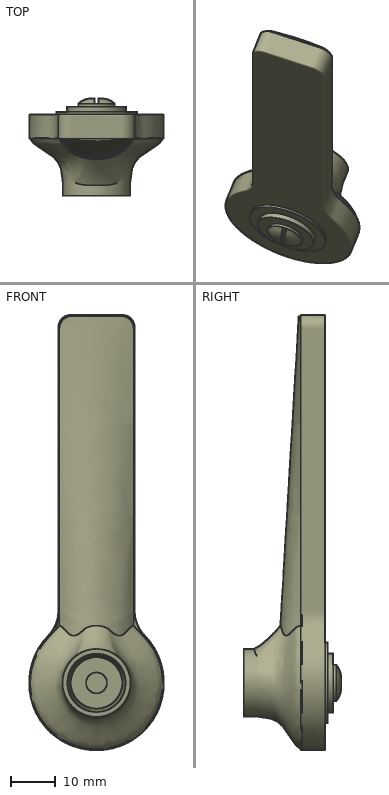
import cadquery as cq
import math

total_length = 96.9
hub_radius = 15.0
arm_half_width = 8.5
arm_top = total_length - hub_radius
arm_corner_radius = 2.9
blend_radius = 7.8
plate_thickness = 5.4
edge_round = 0.3

arch_rise_at_hub = 5.3
arch_rise_at_top = 0.5
arch_half_width = arm_half_width - edge_round

neck_radius = 7.6
neck_front = 18.1
bore_rim_radius = 6.5
bore_floor_radius = 5.7
bore_floor = plate_thickness

flare_sections = [
    (plate_thickness, hub_radius - edge_round, 6.8, 18.4),
    (8.1, 11.4, 4.4, 15.2),
    (11.0, 8.4, 3.9, 11.6),
    (14.8, neck_radius, 6.3, 8.1),
    (16.5, 7.3, 7.2, 7.4),
]

seat_radius = 9.0
seat_height = 0.6
washer_radius = 6.6
washer_thickness = 1.2
head_radius = 4.1
head_edge_height = 0.7
head_height = 1.8
head_crown_radius = 1.2
dome_middle_radius = 3.1
dome_middle_height = 1.4
shank_radius = 2.3
slot_width = 0.9
slot_depth = 1.2

washer_back = seat_height + washer_thickness


def front_plane(distance):
    """Plane facing -Y, the given distance in front of the back face."""
    return cq.Workplane("XZ", origin=(0, -distance, 0))


def disc(radius, back, thickness):
    """Disc on the pivot axis that reaches forward from Y = back."""
    return front_plane(-back).circle(radius).extrude(thickness)


def lever_outline(depth, inset=0):
    """Hub and arm outline, shrunk by the inset and extruded forward from the back face."""
    half_width = arm_half_width - inset
    top = arm_top - inset
    outline_radius = hub_radius - inset
    blend_x = arm_half_width + blend_radius
    blend_reach = hub_radius + blend_radius
    inset_blend = blend_radius + inset
    blend_z = math.sqrt(blend_reach**2 - blend_x**2)
    hub_x = blend_x * outline_radius / blend_reach
    hub_z = blend_z * outline_radius / blend_reach
    middle_angle = (math.pi + math.atan2(blend_z, blend_x) + math.pi) / 2
    middle_x = blend_x + inset_blend * math.cos(middle_angle)
    middle_z = blend_z + inset_blend * math.sin(middle_angle)
    return (
        front_plane(0)
        .moveTo(hub_x, hub_z)
        .threePointArc((middle_x, middle_z), (half_width, blend_z))
        .lineTo(half_width, top)
        .lineTo(-half_width, top)
        .lineTo(-half_width, blend_z)
        .threePointArc((-middle_x, middle_z), (-hub_x, hub_z))
        .threePointArc((0, -outline_radius), (hub_x, hub_z))
        .close()
        .extrude(depth)
        .edges("|Y and >Z")
        .fillet(arm_corner_radius - inset)
    )


def arch_section(body, rise):
    """Closed arch across the arm, flat on the front face of the plate."""
    return (
        body.moveTo(-arch_half_width, -plate_thickness)
        .threePointArc((0, -plate_thickness - rise), (arch_half_width, -plate_thickness))
        .close()
    )


def arm_arch():
    """Arched front of the arm, sinking toward the arm's top."""
    sections = arch_section(cq.Workplane("XY"), arch_rise_at_hub)
    sections = arch_section(sections.workplane(offset=arm_top), arch_rise_at_top)
    return sections.loft(combine=True, ruled=True)


def teardrop(distance, radius, tip_radius, tip_top):
    """Wire: a circle on the pivot axis joined by tangents to a small arc above it."""
    tip_z = tip_top - tip_radius
    slope = math.asin((radius - tip_radius) / tip_z)
    side_x = math.cos(slope)
    side_z = math.sin(slope)
    return (
        front_plane(distance)
        .moveTo(radius * side_x, radius * side_z)
        .lineTo(tip_radius * side_x, tip_z + tip_radius * side_z)
        .threePointArc((0, tip_top), (-tip_radius * side_x, tip_z + tip_radius * side_z))
        .lineTo(-radius * side_x, radius * side_z)
        .threePointArc((0, -radius), (radius * side_x, radius * side_z))
        .close()
        .val()
    )


def hub_flare():
    """Flare from the hub to the neck, drawn out toward the arm and ending inside the neck."""
    sections = [teardrop(*section) for section in flare_sections]
    return cq.Workplane(cq.Solid.makeLoft(sections))


def neck_bore():
    """Tapered bore, narrowing from the neck's rim to its floor."""
    return (
        front_plane(bore_floor)
        .circle(bore_floor_radius)
        .workplane(offset=neck_front - bore_floor)
        .circle(bore_rim_radius)
        .loft(combine=True)
    )


def make_lever():
    plate = lever_outline(plate_thickness).faces("|Y").edges().fillet(edge_round)
    front = arm_arch().union(hub_flare()).intersect(lever_outline(neck_front, edge_round))
    neck = disc(neck_radius, -plate_thickness, neck_front - plate_thickness)
    seat = disc(seat_radius, seat_height, seat_height)
    body = plate.union(front).union(neck).union(seat)
    shank_hole = disc(shank_radius, seat_height, seat_height + bore_floor)
    return body.cut(neck_bore()).cut(shank_hole)


def make_washer():
    return (
        front_plane(-washer_back)
        .circle(washer_radius)
        .circle(shank_radius)
        .extrude(washer_thickness)
    )


def make_screw():
    """Slotted screw with a domed head; its shank ends flush with the bore floor."""
    head_edge = washer_back + head_edge_height
    head_top = washer_back + head_height
    dome_middle = (dome_middle_radius, washer_back + dome_middle_height)
    profile = (
        cq.Workplane("XY")
        .moveTo(0, -bore_floor)
        .lineTo(shank_radius, -bore_floor)
        .lineTo(shank_radius, washer_back)
        .lineTo(head_radius, washer_back)
        .lineTo(head_radius, head_edge)
        .threePointArc(dome_middle, (head_crown_radius, head_top))
        .lineTo(0, head_top)
        .close()
    )
    screw = profile.revolve(360, (0, 0), (0, 1))
    slot = cq.Workplane("XY").box(slot_width, 2 * slot_depth, 2 * head_radius)
    return screw.cut(slot.translate((0, head_top, 0)))


lever = make_lever()
washer = make_washer()
screw = make_screw()

result = cq.Compound.makeCompound([lever.val(), washer.val(), screw.val()])